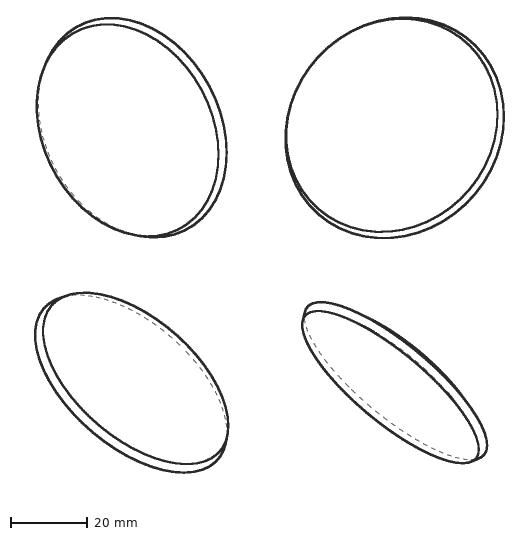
import cadquery as cq
import math

rim_diameter = 60.3
outer_radius = 72.3
wall = 2.5

rim_radius = rim_diameter / 2
inner_radius = outer_radius - wall
inner_rim_radius = rim_radius * inner_radius / outer_radius
rim_angle = math.asin(rim_radius / outer_radius)

center_y = -inner_radius * math.cos(rim_angle)
outer_rim_y = center_y + outer_radius * math.cos(rim_angle)


def arc_middle(radius):
    """Point halfway along a face profile, between the axis and the rim."""
    half_angle = rim_angle / 2
    return radius * math.sin(half_angle), center_y + radius * math.cos(half_angle)


def dome():
    """Revolve the shell's half section about the Y axis."""
    half_section = (
        cq.Workplane("XY")
        .moveTo(0, center_y + inner_radius)
        .threePointArc(arc_middle(inner_radius), (inner_rim_radius, 0))
        .lineTo(rim_radius, outer_rim_y)
        .threePointArc(arc_middle(outer_radius), (0, center_y + outer_radius))
        .close()
    )
    return half_section.revolve(360, (0, 0, 0), (0, 1, 0))


result = dome()